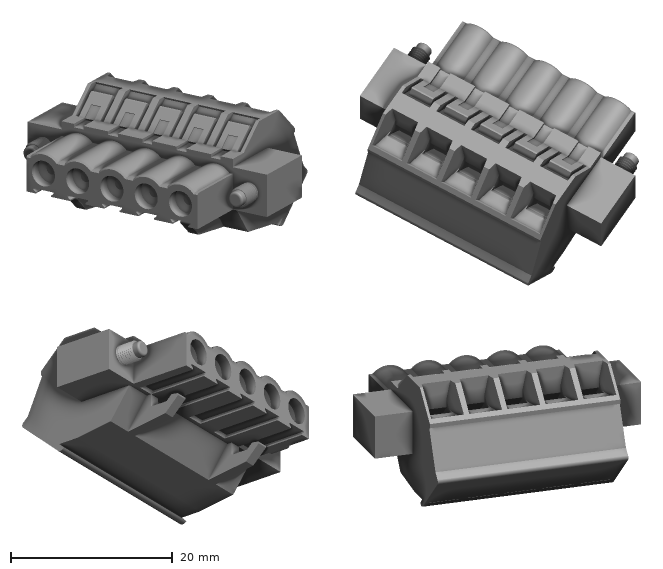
import cadquery as cq
import math


pole_count = 5
pitch = 5.0
body_width = pole_count * pitch
pole_xs = [(i - (pole_count - 1) / 2) * pitch for i in range(pole_count)]

overall_width = 35
flange_depth = 8.1
flange_height = 5.6
screw_x = 3 * pitch
screw_z = 2.852
thread_radius = 1.3
thread_root_radius = 1.1
thread_pitch = 0.3
thread_turns = 8
screw_tip_radius = 1.0
screw_length = 3.45
screw_tip_round = 0.3

plug_length = 8.2
plug_shoulder_z = 4.72
barrel_radius = 2.748
contact_z = 2.852
plug_chamfer = 0.2
contact_radius = 1.68
contact_depth = 1.47
contact_floor_radius = 0.7
contact_cone_depth = 0.4
key_top_width = 2.95
key_bottom_width = 2.25
key_height = 0.648
key_straight = 0.18

top_z = 9.73
step_z = 6.7
front_slope_foot = (2.52, step_z)
front_slope_head = (6.1, top_z)
rear_slope_head = (10.75, top_z)
rear_slope_foot = (14.4, 6.23)
keel_z = -4.8
belly_start_y = 8.82
belly_front = (3.57, -4.1)
chin_y = 0.63
hook_slot_width = 4.1
hook_slot_height = 0.07
hook_slot_z = -4.97
hook_slot_ys = (10.5, 13.3)

latch_x = 8.22
latch_width = 1.47
latch_top_z = -1.7
latch_heel_y = -2.25
latch_corner_radius = 0.18

recess_width = 4.05
recess_length = 5.42
recess_depth = 1.1
button_width = 3.1
button_length = 3.9
button_chamfer_length = 0.2
button_chamfer_depth = 0.1
button_lip_depth = 0.77
button_undercut = 0.07
tab_width = 1.45
tab_length = 2.0
tab_depth = 0.15
notch_depth = 0.45

entry_mouth_width = 4.3
entry_hole_width = 2.75
entry_front_y = 9.6
entry_rear = (13.9, 6.72)
entry_rim_depth = 0.5
entry_floor_y = 11.5
entry_taper_depth = 2.62
entry_mouth_depth = 3.5
entry_step_y = 10.85
entry_step = 0.1
entry_bottom_y = 8.75


def prism(points, width, x=0):
    """Solid with a YZ outline, centred on x."""
    return cq.Workplane("YZ").polyline(points).close().extrude(width / 2, both=True).translate((x, 0, 0))


def box(x_range, y_range, z_range):
    """Axis-aligned box from its limits."""
    (x0, x1), (y0, y1), (z0, z1) = x_range, y_range, z_range
    return cq.Workplane("XY").box(x1 - x0, y1 - y0, z1 - z0, centered=False).translate((x0, y0, z0))


front_slope_angle = math.atan2(
    front_slope_head[1] - front_slope_foot[1],
    front_slope_head[0] - front_slope_foot[0],
)


def on_slope(along, depth):
    """YZ point a distance up the front slope from its foot and a depth below its surface."""
    run, rise = math.cos(front_slope_angle), math.sin(front_slope_angle)
    return (
        front_slope_foot[0] + along * run + depth * rise,
        front_slope_foot[1] + along * rise - depth * run,
    )


def slope_block(start, end, top, bottom, width, x):
    """Block square to the front slope."""
    corners = [on_slope(start, top), on_slope(end, top), on_slope(end, bottom), on_slope(start, bottom)]
    return prism(corners, width, x)


def housing():
    """Main body with a thin slot through the rear hook under every pole."""
    outline = (
        cq.Workplane("YZ")
        .moveTo(0, 0)
        .lineTo(0, step_z)
        .lineTo(*front_slope_foot)
        .lineTo(*front_slope_head)
        .lineTo(*rear_slope_head)
        .lineTo(*rear_slope_foot)
        .lineTo(14.4, 5.67)
        .lineTo(14.18, 5.6)
        .lineTo(16.45, 0.6)
        .lineTo(17.22, -0.15)
        .threePointArc((17.32, -0.42), (17.22, -0.75))
        .lineTo(11.9, -5.53)
        .threePointArc((11.38, -5.78), (10.85, -5.5))
        .lineTo(11.55, keel_z)
        .lineTo(belly_start_y, keel_z)
        .lineTo(*belly_front)
        .lineTo(chin_y, 0)
        .close()
    )
    body = outline.extrude(body_width / 2, both=True)
    for x in pole_xs:
        half = hook_slot_width / 2
        slot_zs = (hook_slot_z - hook_slot_height / 2, hook_slot_z + hook_slot_height / 2)
        body = body.cut(box((x - half, x + half), hook_slot_ys, slot_zs))
    return body


def latch_arm(x):
    """Hooked arm below the plug whose underside continues the belly of the housing."""
    belly_slope = (belly_front[1] - keel_z) / (belly_start_y - belly_front[0])
    heel_z = belly_front[1] + belly_slope * (belly_front[0] - latch_heel_y)
    arm = (
        cq.Workplane("YZ")
        .moveTo(chin_y, 0)
        .lineTo(0, 0)
        .lineTo(0, latch_top_z + latch_corner_radius)
        .radiusArc((-latch_corner_radius, latch_top_z), latch_corner_radius)
        .lineTo(-2.4, latch_top_z)
        .lineTo(-3.2, -0.98)
        .lineTo(-4.05, -1.12)
        .threePointArc((-4.25, -1.22), (-4.2, -1.45))
        .lineTo(latch_heel_y, heel_z)
        .lineTo(*belly_front)
        .close()
    )
    return arm.extrude(latch_width / 2, both=True).translate((x, 0, 0))


def flange(side):
    """Flange block with its screw; side is -1 or +1."""
    x_range = sorted((side * body_width / 2, side * overall_width / 2))
    block = box(x_range, (0, flange_depth), (0, flange_height))
    section = cq.Workplane("XY").moveTo(0, flange_depth / 2).lineTo(thread_root_radius, flange_depth / 2)
    section = section.lineTo(thread_root_radius, 0)
    for turn in range(thread_turns):
        section = section.lineTo(thread_radius, -(turn + 0.5) * thread_pitch)
        section = section.lineTo(thread_root_radius, -(turn + 1) * thread_pitch)
    screw = (
        section.lineTo(screw_tip_radius, -thread_turns * thread_pitch)
        .lineTo(screw_tip_radius, -screw_length + screw_tip_round)
        .radiusArc((screw_tip_radius - screw_tip_round, -screw_length), screw_tip_round)
        .lineTo(0, -screw_length)
        .close()
        .revolve(360, (0, 0, 0), (0, 1, 0))
        .translate((side * screw_x, 0, screw_z))
    )
    return block.union(screw)


def plug():
    """Flat-shouldered block with a round barrel over every contact, chamfered along its upper front edge."""
    half_width = body_width / 2
    shoulder = box((-half_width, half_width), (-plug_length, 0), (0, plug_shoulder_z))
    shoulder = shoulder.faces("<Y").edges(">Z").chamfer(plug_chamfer)
    barrel = cq.Workplane("XZ").circle(barrel_radius).extrude(plug_length).faces("<Y").chamfer(plug_chamfer)
    barrels = cq.Workplane()
    for x in pole_xs:
        barrels = barrels.add(barrel.translate((x, 0, contact_z)))
    envelope = box((-half_width, half_width), (-plug_length, 0), (contact_z, contact_z + barrel_radius))
    body = shoulder.union(barrels.combine().intersect(envelope))
    for x in pole_xs:
        body = body.cut(contact_hole(x)).cut(key_groove(x))
    return body


def contact_hole(x):
    """Round hole narrowing through a cone to a flat floor."""
    shoulder_y = -plug_length + contact_depth
    floor_y = shoulder_y + contact_cone_depth
    half_section = [
        (0, -plug_length),
        (contact_radius, -plug_length),
        (contact_radius, shoulder_y),
        (contact_floor_radius, floor_y),
        (0, floor_y),
    ]
    hole = cq.Workplane("XY").polyline(half_section).close().revolve(360, (0, 0, 0), (0, 1, 0))
    return hole.translate((x, 0, contact_z))


def key_groove(x):
    """Dovetail groove along the underside of the plug."""
    top, bottom = key_top_width / 2, key_bottom_width / 2
    outline = [
        (x - bottom, 0),
        (x - bottom, key_straight),
        (x - top, key_height - key_straight),
        (x - top, key_height),
        (x + top, key_height),
        (x + top, key_height - key_straight),
        (x + bottom, key_straight),
        (x + bottom, 0),
    ]
    return cq.Workplane("XZ").polyline(outline).close().extrude(plug_length)


def add_button(body, x):
    """Recess in the front slope with a release button, and the notch below it."""
    body = body.cut(slope_block(0, recess_length, -recess_depth, recess_depth, recess_width, x))
    button = prism(
        [
            on_slope(0, 0),
            on_slope(button_length - button_chamfer_length, 0),
            on_slope(button_length, button_chamfer_depth),
            on_slope(button_length, button_lip_depth),
            on_slope(button_length - button_undercut, button_lip_depth),
            on_slope(button_length - button_undercut, recess_depth),
            on_slope(0, recess_depth),
        ],
        button_width,
        x,
    )
    tab_recess = slope_block(0, tab_length, 0, tab_depth, tab_width, x)
    notch_end = on_slope(0, notch_depth / math.cos(front_slope_angle))
    notch = prism([(0, step_z), front_slope_foot, notch_end, (0, notch_end[1])], tab_width, x)
    return body.union(button.cut(tab_recess)).cut(notch)


def wire_entry(x):
    """Tapered mouth on the rear slope leading to a slanting rectangular hole."""
    rear_y, rear_z = entry_rear
    floor_z = rear_z - entry_rim_depth
    slope_sum = rear_y + rear_z
    mouth = prism(
        [
            (entry_front_y, floor_z),
            (entry_front_y, slope_sum - entry_front_y),
            entry_rear,
            (rear_y - entry_rim_depth, floor_z),
        ],
        entry_mouth_width,
        x,
    )
    wide, narrow = entry_mouth_width / 2, entry_hole_width / 2
    across_slope = cq.Plane(origin=(x, *entry_rear), xDir=(1, 0, 0), normal=(0, 1, -1))
    side_walls = (
        cq.Workplane(across_slope)
        .polyline(
            [
                (-wide, 0),
                (wide, 0),
                (narrow, entry_taper_depth),
                (narrow, entry_mouth_depth),
                (-narrow, entry_mouth_depth),
                (-narrow, entry_taper_depth),
            ]
        )
        .close()
        .extrude(body_width, both=True)
    )
    step_z_low = floor_z - (entry_floor_y - entry_step_y)
    fall = entry_step_y - entry_bottom_y - entry_step
    hole = prism(
        [
            (entry_front_y, floor_z),
            (entry_floor_y, floor_z),
            (entry_step_y, step_z_low),
            (entry_step_y - entry_step, step_z_low),
            (entry_bottom_y, step_z_low - fall),
            (entry_bottom_y - entry_rim_depth, floor_z - entry_front_y + entry_bottom_y - entry_rim_depth),
        ],
        entry_hole_width,
        x,
    )
    return mouth.intersect(side_walls).union(hole)


result = housing().union(plug())
for side in (-1, 1):
    result = result.union(flange(side)).union(latch_arm(side * latch_x))
for pole_x in pole_xs:
    result = add_button(result, pole_x).cut(wire_entry(pole_x))